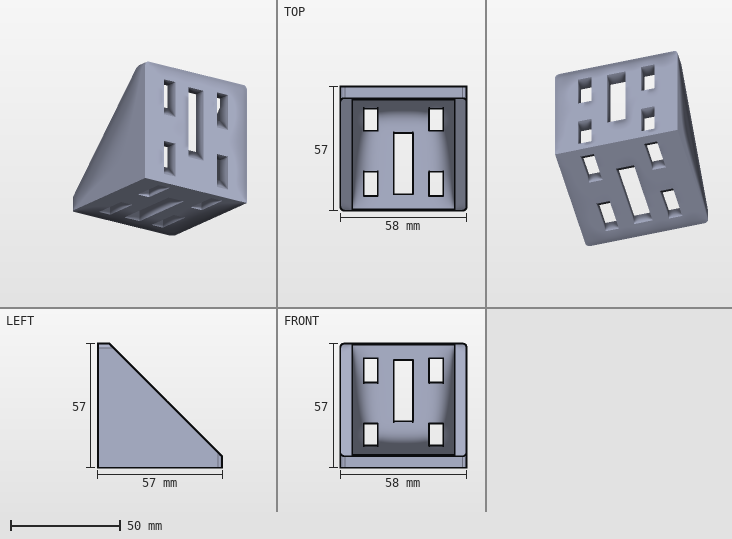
import cadquery as cq

width = 58.0
leg = 57.0

plate_thickness = 6.0
gusset_thickness = 5.5
tip_height = 5.3
corner_radius = 2.0

window_width = 6.4
window_spacing = 30.0
inner_window = (10.25, 20.25)
outer_window = (39.2, 50.2)
slot_width = 8.7
slot_span = (21.35, 49.35)



def wedge():
    """Full-width side profile with the sloping face and rounded free corners."""
    body = (
        cq.Workplane("YZ")
        .polyline([(0, 0), (0, leg), (-tip_height, leg), (-leg, tip_height), (-leg, 0)])
        .close()
        .extrude(width / 2, both=True)
    )
    back_corners = body.faces(">Z").edges("|Y")
    base_corners = body.faces("<Y").edges("|Z")
    return body.newObject(back_corners.vals() + base_corners.vals()).fillet(corner_radius)


def pocket():
    """Open space between the gussets, in front of the back plate and above the base."""
    return cq.Workplane("XY").box(
        width - 2 * gusset_thickness, leg, leg, centered=(True, False, False)
    ).translate((0, -plate_thickness - leg, plate_thickness))


def opening_profile(span):
    """Opening outline as (distance along the leg, height above the outer face).

    The far end is square to the plate. The end nearest the corner slopes at
    45 degrees, so the opening is longer on the outer face than on the inner one.
    """
    start, end = span
    return [
        (start - plate_thickness, 0),
        (start, plate_thickness),
        (end, plate_thickness),
        (end, 0),
    ]


def opening_cutter(x_centre, x_size, outline):
    """Prism of the given width across X, with its outline in the YZ plane."""
    prism = cq.Workplane("YZ").polyline(outline).close().extrude(x_size / 2, both=True)
    return prism.translate((x_centre, 0, 0))


def cut_both_plates(body, x_centre, x_size, span):
    """Cut one opening through the base plate and its twin through the back plate."""
    profile = opening_profile(span)
    base_outline = [(-along, height) for along, height in profile]
    back_outline = [(-height, along) for along, height in profile]
    for outline in (base_outline, back_outline):
        body = body.cut(opening_cutter(x_centre, x_size, outline))
    return body


result = wedge().cut(pocket())
result = cut_both_plates(result, 0, slot_width, slot_span)

for window_x in (-window_spacing / 2, window_spacing / 2):
    for window_span in (inner_window, outer_window):
        result = cut_both_plates(result, window_x, window_width, window_span)